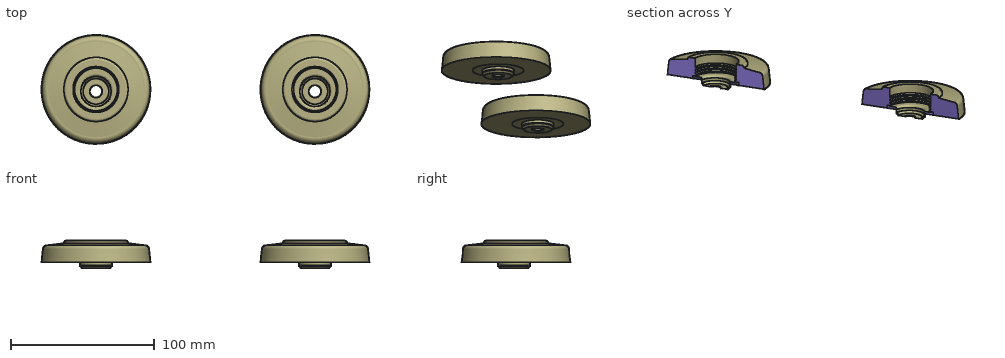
import cadquery as cq
import math

TOTAL_LENGTH = 228.5
ROSETTE_DIAMETER = 76.1
ROSETTE_SPACING = TOTAL_LENGTH - ROSETTE_DIAMETER
CUP_OFFSET_Y = -1.4

BASE_RADIUS = ROSETTE_DIAMETER / 2
SHOULDER_RADIUS = 37.0
SHOULDER_HEIGHT = 9.5
CROWN_RADIUS = 33.4
CROWN_HEIGHT = 12.1
BOSS_RADIUS = 22.5
BOSS_FILLET = 1.8
ROSETTE_HEIGHT = 15.3

BORE_RADIUS = 16.0
RIDGE_CREST_RADIUS = 14.9
RIDGE_CREST_WIDTH = 0.5
RIDGE_PITCH = 2.3
RIDGE_COUNT = 3

FLANGE_THICKNESS = 2.0
FLANGE_RADIUS = 17.8
CUP_DEPTH = 4.1
CUP_RADIUS = 11.2
CUP_WALL = 0.7
CUP_CHAMFER = 1.5
MOUTH_FILLET = 1.8
DRAIN_DIAMETER = 8.5


def revolve_about_z(profile):
    """Turn a closed (radius, height) profile a full turn about the Z axis."""
    return profile.close().revolve(360, (0, 0, 0), (0, 1, 0))


def make_rosette():
    """Domed ring with a raised boss, a ridged bore and an off-centre recess below."""
    edge_run = SHOULDER_RADIUS - CROWN_RADIUS
    edge_rise = CROWN_HEIGHT - SHOULDER_HEIGHT
    edge_middle = (
        CROWN_RADIUS + edge_run * math.sin(math.pi / 4),
        SHOULDER_HEIGHT + edge_rise * math.sin(math.pi / 4),
    )
    boss_flat_radius = BOSS_RADIUS - BOSS_FILLET
    boss_foot_height = ROSETTE_HEIGHT - BOSS_FILLET
    boss_middle = (
        boss_flat_radius + BOSS_FILLET * math.sin(math.pi / 4),
        boss_foot_height + BOSS_FILLET * math.sin(math.pi / 4),
    )

    profile = (
        cq.Workplane("XZ")
        .moveTo(BORE_RADIUS, 0)
        .lineTo(BASE_RADIUS, 0)
        .lineTo(SHOULDER_RADIUS, SHOULDER_HEIGHT)
        .threePointArc(edge_middle, (CROWN_RADIUS, CROWN_HEIGHT))
        .lineTo(BOSS_RADIUS, boss_foot_height)
        .threePointArc(boss_middle, (boss_flat_radius, ROSETTE_HEIGHT))
        .lineTo(BORE_RADIUS, ROSETTE_HEIGHT)
    )

    ridges_top = FLANGE_THICKNESS + RIDGE_COUNT * RIDGE_PITCH
    ridge_flank = (RIDGE_PITCH - RIDGE_CREST_WIDTH) / 2
    profile = profile.lineTo(BORE_RADIUS, ridges_top)
    for ridge in range(RIDGE_COUNT):
        ridge_top = ridges_top - ridge * RIDGE_PITCH
        profile = profile.lineTo(RIDGE_CREST_RADIUS, ridge_top - ridge_flank)
        profile = profile.lineTo(RIDGE_CREST_RADIUS, ridge_top - ridge_flank - RIDGE_CREST_WIDTH)
        profile = profile.lineTo(BORE_RADIUS, ridge_top - RIDGE_PITCH)

    flange_recess = (
        cq.Workplane("XY")
        .center(0, CUP_OFFSET_Y)
        .circle(FLANGE_RADIUS)
        .extrude(FLANGE_THICKNESS)
    )
    return revolve_about_z(profile).cut(flange_recess)


def make_cup():
    """Flanged pan with a rounded mouth, a chamfered bottom and a central drain hole."""
    inner_radius = CUP_RADIUS - CUP_WALL
    floor_height = CUP_WALL - CUP_DEPTH
    drain_radius = DRAIN_DIAMETER / 2
    mouth_radius = inner_radius + MOUTH_FILLET
    mouth_foot = FLANGE_THICKNESS - MOUTH_FILLET
    mouth_middle = (
        mouth_radius - MOUTH_FILLET * math.cos(math.pi / 4),
        mouth_foot + MOUTH_FILLET * math.sin(math.pi / 4),
    )

    profile = (
        cq.Workplane("XZ")
        .moveTo(drain_radius, -CUP_DEPTH)
        .lineTo(CUP_RADIUS - CUP_CHAMFER, -CUP_DEPTH)
        .lineTo(CUP_RADIUS, CUP_CHAMFER - CUP_DEPTH)
        .lineTo(CUP_RADIUS, 0)
        .lineTo(FLANGE_RADIUS, 0)
        .lineTo(FLANGE_RADIUS, FLANGE_THICKNESS)
        .lineTo(mouth_radius, FLANGE_THICKNESS)
        .threePointArc(mouth_middle, (inner_radius, mouth_foot))
        .lineTo(inner_radius, floor_height + CUP_CHAMFER)
        .lineTo(inner_radius - CUP_CHAMFER, floor_height)
        .lineTo(drain_radius, floor_height)
    )
    return revolve_about_z(profile).translate((0, CUP_OFFSET_Y, 0))


rosettes = []
cups = []
for side in (-1, 1):
    place = (side * ROSETTE_SPACING / 2, 0, 0)
    rosettes.append(make_rosette().translate(place).val())
    cups.append(make_cup().translate(place).val())

result = cq.Compound.makeCompound([*rosettes, *cups])